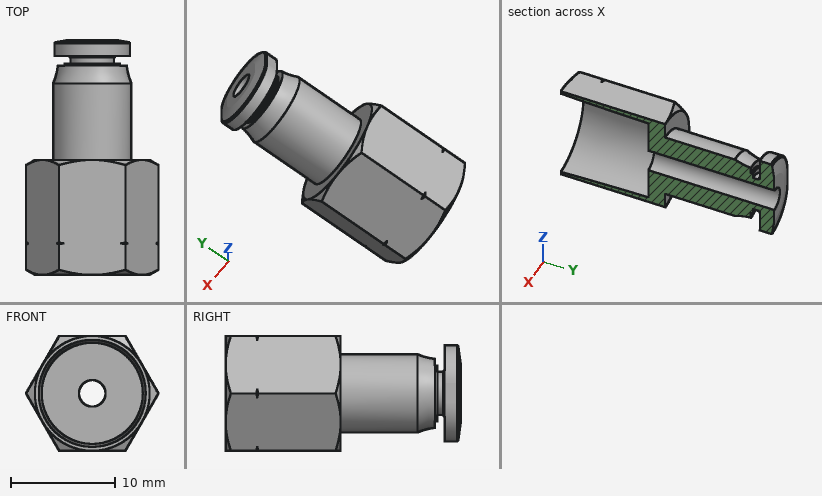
import cadquery as cq
import math

total_length = 22.5

hex_across_flats = 11.0
hex_length = 11.0
hex_inradius = hex_across_flats / 2
hex_circumradius = hex_inradius / math.cos(math.radians(30))
corner_chamfer_angle = 30.0
corner_chamfer_length = (hex_circumradius - hex_inradius) * math.tan(math.radians(corner_chamfer_angle))

groove_y = 3.02
groove_half_width = 0.1
groove_root_radius = 6.15

socket_mouth_radius = 5.13
socket_depth = 9.22
socket_taper = 1 / 16
socket_floor_radius = socket_mouth_radius - socket_depth * socket_taper / 2
passage_radius = 1.25

body_radius = 3.75
body_end_y = 18.34
shoulder_radius = 3.3
shoulder_y = 20.02
shoulder_sag = 0.07
ring_radius = 2.68
ring_end_y = 20.25
neck_radius = 2.1
neck_flare_y = 20.8
neck_flare_radius = 2.23

button_back_y = 20.95
button_width = 7.27
button_height = 9.22
button_rim_y = 22.15
button_crown_y = 22.28
button_rim_inset = 0.14
button_top_scale = 0.62


def revolve_about_y(sketch):
    """Turn a closed radius-height outline once around the Y axis."""
    return sketch.close().revolve(360, (0, 0, 0), (0, 1, 0))


def make_hexagon():
    """Hexagonal prism with conical chamfers at both ends and nicked corners."""
    prism = (
        cq.Workplane("XZ")
        .polygon(6, 2 * hex_circumradius)
        .extrude(-hex_length)
    )
    envelope = revolve_about_y(
        cq.Workplane("XY")
        .lineTo(hex_inradius, 0)
        .lineTo(hex_circumradius, corner_chamfer_length)
        .lineTo(hex_circumradius, groove_y - groove_half_width)
        .lineTo(groove_root_radius, groove_y)
        .lineTo(hex_circumradius, groove_y + groove_half_width)
        .lineTo(hex_circumradius, hex_length - corner_chamfer_length)
        .lineTo(hex_inradius, hex_length)
        .lineTo(0, hex_length)
    )
    return prism.intersect(envelope)


def make_body():
    """Round body with its curved shoulder, retaining ring and flared neck."""
    shoulder_middle = (
        (body_radius + shoulder_radius) / 2 - shoulder_sag,
        (body_end_y + shoulder_y) / 2,
    )
    return revolve_about_y(
        cq.Workplane("XY")
        .moveTo(0, socket_depth)
        .lineTo(body_radius, socket_depth)
        .lineTo(body_radius, body_end_y)
        .threePointArc(shoulder_middle, (shoulder_radius, shoulder_y))
        .lineTo(ring_radius, shoulder_y)
        .lineTo(ring_radius, ring_end_y)
        .lineTo(neck_radius, ring_end_y)
        .lineTo(neck_radius, neck_flare_y)
        .lineTo(neck_flare_radius, button_back_y)
        .lineTo(0, button_back_y)
    )


def stadium_layer(bottom_y, top_y, bottom_size, top_size):
    """Stadium slab between two heights; each size is (width, height)."""
    bottom_width, bottom_height = bottom_size
    top_width, top_height = top_size
    return (
        cq.Workplane("XZ", origin=(0, bottom_y, 0))
        .slot2D(bottom_height, bottom_width, 90)
        .workplane(offset=bottom_y - top_y)
        .slot2D(top_height, top_width, 90)
        .loft(ruled=True)
    )


def make_button():
    """Straight-sided stadium, a narrow rim chamfer and a shallow crown."""
    full_size = (button_width, button_height)
    inset_size = (button_width - 2 * button_rim_inset, button_height - 2 * button_rim_inset)
    top_size = (button_width * button_top_scale, button_height * button_top_scale)
    slab = stadium_layer(button_back_y, button_rim_y, full_size, full_size)
    rim = stadium_layer(button_rim_y, button_crown_y, full_size, inset_size)
    crown = stadium_layer(button_crown_y, total_length, inset_size, top_size)
    return slab.union(rim).union(crown)


def make_socket():
    """Tapered socket open at Y = 0."""
    return revolve_about_y(
        cq.Workplane("XY")
        .lineTo(socket_mouth_radius, 0)
        .lineTo(socket_floor_radius, socket_depth)
        .lineTo(0, socket_depth)
    )


def make_passage():
    """Tube passage along the whole fitting."""
    return cq.Workplane("XZ").circle(passage_radius).extrude(-total_length)


result = (
    make_hexagon()
    .union(make_body())
    .union(make_button())
    .cut(make_socket())
    .cut(make_passage())
)